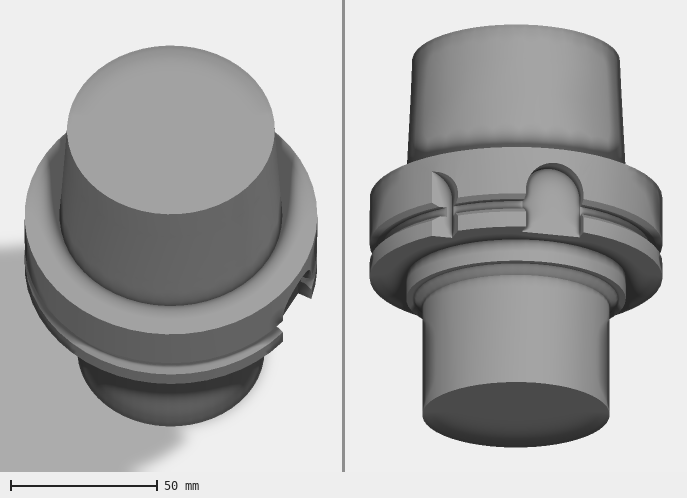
import cadquery as cq

total_height = 129.0
cone_bottom_height = 39.1
collar_bottom_height = 42.2
flange_bottom_height = 49.9
groove_lower_edge = 55.5
groove_floor_bottom = 57.4
groove_floor_top = 60.8
groove_upper_edge = 62.0
flange_top_height = 79.0

shank_radius = 64.0 / 2
cone_top_radius = 34.8
collar_radius = 75.0 / 2
flange_radius = 100.0 / 2
groove_radius = 45.9
groove_lower_lip_radius = 47.6
groove_upper_lip_radius = 48.0
taper_base_radius = 38.0
taper_top_radius = 35.5

slot_width = 20.4
slot_top_height = 73.8
drive_slot_floor = 43.9
side_slot_floor = 31.6
side_slot_inner_edge = 31.5
slot_overrun = 1.3


def turned_body():
    """Shank, collar, grooved flange and tapered top as one revolved profile."""
    profile = [
        (0, 0),
        (shank_radius, 0),
        (shank_radius, cone_bottom_height),
        (cone_top_radius, collar_bottom_height),
        (collar_radius, collar_bottom_height),
        (collar_radius, flange_bottom_height),
        (flange_radius, flange_bottom_height),
        (flange_radius, groove_lower_edge),
        (groove_lower_lip_radius, groove_floor_bottom),
        (groove_radius, groove_floor_bottom),
        (groove_radius, groove_floor_top),
        (groove_upper_lip_radius, groove_floor_top),
        (flange_radius, groove_upper_edge),
        (flange_radius, flange_top_height),
        (taper_base_radius, flange_top_height),
        (taper_top_radius, total_height),
        (0, total_height),
    ]
    return cq.Workplane("XZ").polyline(profile).close().revolve(360, (0, 0), (0, 1))


def slot_cutter(floor_distance, center_y):
    """Slot on the +X side: a flat floor square to X and a half-round top."""
    half_width = slot_width / 2
    arc_center_height = slot_top_height - half_width
    return (
        cq.Workplane("YZ", origin=(floor_distance, center_y, 0))
        .moveTo(-half_width, flange_bottom_height)
        .lineTo(half_width, flange_bottom_height)
        .lineTo(half_width, arc_center_height)
        .threePointArc((0, slot_top_height), (-half_width, arc_center_height))
        .close()
        .extrude(flange_radius + slot_overrun - floor_distance)
    )


result = turned_body()

drive_slot = slot_cutter(drive_slot_floor, 0)
for angle in (0, 180):
    result = result.cut(drive_slot.rotate((0, 0, 0), (0, 0, 1), angle))

side_slot_center_y = side_slot_inner_edge + slot_width / 2
side_slot = slot_cutter(side_slot_floor, side_slot_center_y).mirror("YZ")
result = result.cut(side_slot)